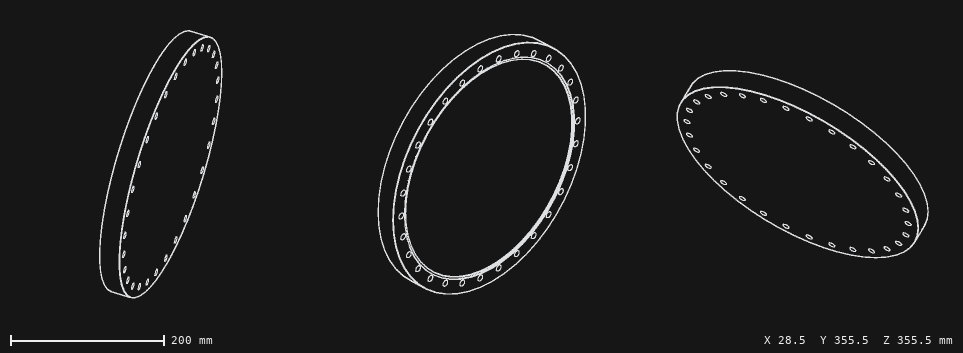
import cadquery as cq
import math

outer_diameter = 355.5
thickness = 28.5
edge_chamfer = 0.7

bolt_count = 30
bolt_circle_diameter = 325.5
bolt_hole_diameter = 8.5

recess_diameter = 313.5
knife_edge_diameter = 307.5
centre_diameter = 306.5
knife_edge_depth = 0.7
centre_depth = 1.8
knife_slope_angle = 20.0

groove_width = (recess_diameter - knife_edge_diameter) / 2
groove_depth = knife_edge_depth + groove_width * math.tan(math.radians(knife_slope_angle))


def make_disc():
    disc = cq.Workplane("YZ").circle(outer_diameter / 2).extrude(thickness)
    return disc.edges().chamfer(edge_chamfer)


def make_sealing_recess():
    return (
        cq.Workplane("XY")
        .moveTo(0, 0)
        .lineTo(0, recess_diameter / 2)
        .lineTo(groove_depth, recess_diameter / 2)
        .lineTo(knife_edge_depth, knife_edge_diameter / 2)
        .lineTo(centre_depth, centre_diameter / 2)
        .lineTo(centre_depth, 0)
        .close()
        .revolve(360, (0, 0, 0), (1, 0, 0))
    )


def make_bolt_holes():
    return (
        cq.Workplane("YZ")
        .polarArray(bolt_circle_diameter / 2, 0, 360, bolt_count)
        .circle(bolt_hole_diameter / 2)
        .extrude(thickness)
    )


result = make_disc().cut(make_sealing_recess()).cut(make_bolt_holes())